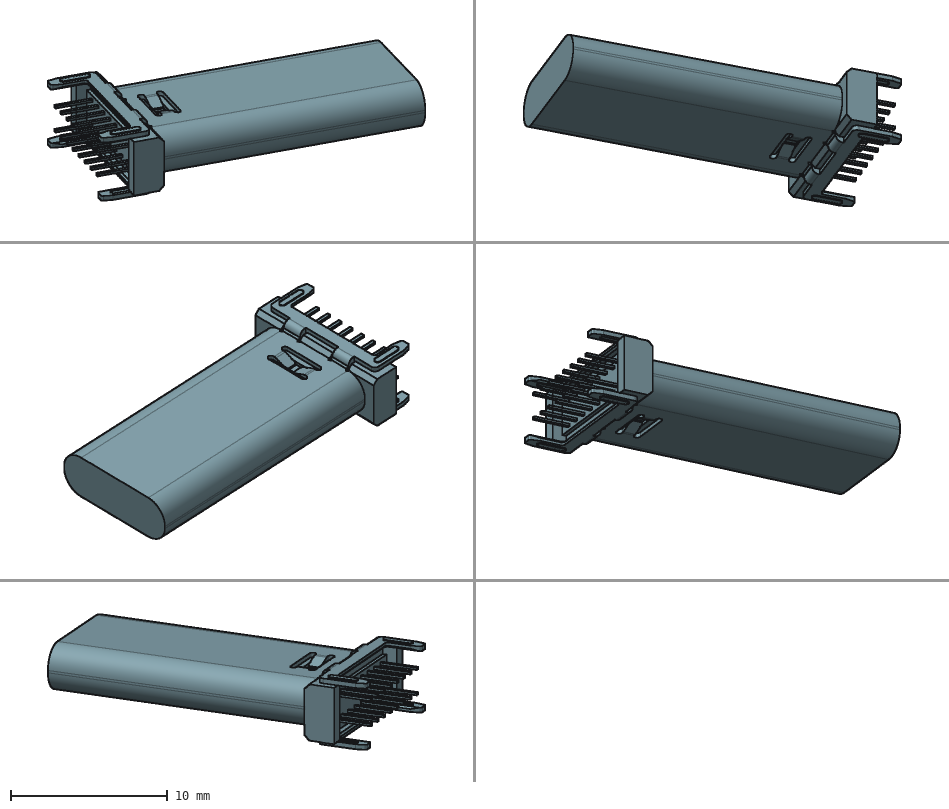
import cadquery as cq
import math


overall_length = 22.4
base_width = 10.5
overall_height = 4.6

leg_depth = 4.03
rib_height = 0.07
plate_top = overall_height / 2 - rib_height
plate_thickness = 0.34
plate_front = -0.7
plate_back = -1.64
plate_half_width = 4.7
plate_corner_radius = 0.34
plate_edge_chamfer = 0.13
leg_width = 0.96
leg_inner_radius = 0.18
leg_taper_start = -3.32
leg_tip_inset = 0.15
leg_tip_radius = 0.13
rib_width = 0.45
rib_length = 2.05
rib_centre_y = -2.25

strap_inner_x = 1.43
strap_outer_x = 2.87
strap_front = -0.15
strap_bend_radius = 0.47
relief_gap = 0.11
relief_radius = 0.11
relief_depth = 0.22

shell_length = overall_length - leg_depth
shell_width = 8.95
shell_height = 3.15
shell_corner_radius = 1.5

base_depth = 2.08
base_height = 2 * (plate_top - plate_thickness)
base_chamfer = 0.34
cheek_width = 0.9
recess_floor = -1.37
ledge_floor = -1.1
ledge_half_height = 1.19

pins_per_row = 8
pin_span = 7.0
pin_width = 0.25
pin_thickness = 0.15
pin_row_z = 0.85
pin_end = -3.92

slot_length = 3.34
slot_width = 0.43
slot_depth = 0.31
slot_spacing = 1.3
window_centre_y = 1.84
window_half_length = 1.4
window_depth = 0.54
tongue_bend_x = 1.25
tongue_bend_drop = 0.02
tongue_tip_x = 0.25
tongue_tip_drop = 0.43
tongue_corner_radius = 0.13


def box_between(x_range, y_range, z_range):
    """Box given by its low and high limits along each axis."""
    size = [high - low for low, high in (x_range, y_range, z_range)]
    corner = (x_range[0], y_range[0], z_range[0])
    return cq.Workplane("XY").box(*size, centered=False).translate(corner)


def both_sides(shape, plane):
    """Shape joined with its mirror image."""
    return shape.union(shape.mirror(plane))


def make_shell():
    """Rounded bar, started inside the base so the two fuse."""
    return (
        cq.Workplane("XZ", origin=(0, ledge_floor, 0))
        .rect(shell_width, shell_height)
        .extrude(-(shell_length - ledge_floor))
        .edges("|Y")
        .fillet(shell_corner_radius)
    )


def make_base():
    """Block with chamfered front edges and a stepped recess between two cheeks."""
    half_width = base_width / 2
    half_height = base_height / 2
    block = (
        box_between((-half_width, half_width), (-base_depth, 0), (-half_height, half_height))
        .faces(">Y")
        .edges("|X")
        .chamfer(base_chamfer)
    )
    recess_x = (cheek_width - half_width, half_width - cheek_width)
    recess = box_between(recess_x, (-base_depth, recess_floor), (-half_height, half_height))
    ledge = box_between(recess_x, (-base_depth, ledge_floor), (ledge_half_height, half_height))
    return block.cut(recess).cut(both_sides(ledge, "XY"))


def make_pins():
    """Two rows of straight pins."""
    pitch = pin_span / (pins_per_row - 1)
    return (
        cq.Workplane("XZ", origin=(0, ledge_floor, 0))
        .rarray(pitch, 2 * pin_row_z, pins_per_row, 2)
        .rect(pin_width, pin_thickness)
        .extrude(ledge_floor - pin_end)
    )


def make_plate():
    """Flat upper plate with two tapered legs, each with an embossed rib that is hollow behind."""
    leg_inner_x = plate_half_width - leg_width
    half_outline = [
        (0, plate_front),
        (plate_half_width, plate_front),
        (plate_half_width, leg_taper_start),
        (plate_half_width - leg_tip_inset, -leg_depth),
        (leg_inner_x + leg_tip_inset, -leg_depth),
        (leg_inner_x, leg_taper_start),
        (leg_inner_x, plate_back),
        (0, plate_back),
    ]
    plate = cq.Workplane("XY").polyline(half_outline).mirrorY().extrude(plate_thickness)
    plate = plate.edges("|Z and >Y").fillet(plate_corner_radius)
    plate = plate.edges("|Z and <Y").fillet(leg_tip_radius)
    margin = 0.02
    back_edges = cq.selectors.BoxSelector(
        (-leg_inner_x - margin, plate_back - margin, -margin),
        (leg_inner_x + margin, plate_back + margin, plate_thickness + margin),
    )
    plate = plate.edges("|Z").edges(back_edges).fillet(leg_inner_radius)
    plate = plate.faces("<Z").edges("|X").edges(back_edges).chamfer(plate_edge_chamfer)
    ribs = (
        cq.Workplane("XY", origin=(0, rib_centre_y, 0))
        .pushPoints([(side * (plate_half_width - leg_width / 2), 0) for side in (-1, 1)])
        .slot2D(rib_length, rib_width, 90)
        .extrude(plate_thickness)
    )
    plate = plate.cut(ribs).union(ribs.translate((0, 0, rib_height)))
    return plate.translate((0, 0, plate_top - plate_thickness))


def make_straps():
    """Straps that curve over the front edge of the base."""
    bend_y = strap_front - strap_bend_radius
    bend_z = plate_top - strap_bend_radius
    bend_middle = strap_bend_radius * math.cos(math.radians(45))
    root_z = shell_height / 2 - slot_depth
    strap = (
        cq.Workplane("YZ", origin=(strap_inner_x, 0, 0))
        .moveTo(plate_back / 2, plate_top)
        .lineTo(bend_y, plate_top)
        .threePointArc((bend_y + bend_middle, bend_z + bend_middle), (strap_front, bend_z))
        .lineTo(strap_front, root_z)
        .lineTo(plate_back / 2, root_z)
        .close()
        .extrude(strap_outer_x - strap_inner_x)
    )
    return both_sides(strap, "YZ")


def make_reliefs():
    """Cutter for the slits beside the straps, each ending in a round notch in the shell."""
    offsets = (strap_inner_x - relief_gap / 2, strap_outer_x + relief_gap / 2)
    centres = [side * x for side in (-1, 1) for x in offsets]
    base = cq.Workplane("XY", origin=(0, 0, shell_height / 2 - relief_depth))
    notches = base.pushPoints([(x, 0) for x in centres]).circle(relief_radius).extrude(2 * relief_depth)
    slits = (
        base.pushPoints([(x, plate_front / 2) for x in centres])
        .rect(relief_gap, -plate_front)
        .extrude(plate_top)
    )
    return notches.union(slits)


def make_window():
    """Cutter for the latch window in the upper shell face, leaving its tongues."""
    shell_top = shell_height / 2
    half_gap = (slot_spacing - slot_width) / 2
    y_range = (window_centre_y - half_gap, window_centre_y + half_gap)
    window_bottom = shell_top - window_depth
    slots = (
        cq.Workplane("XY", origin=(0, window_centre_y, shell_top))
        .rarray(0.22, slot_spacing, 1, 2)
        .slot2D(slot_length, slot_width)
        .extrude(-slot_depth)
    )
    opening = box_between(
        (-window_half_length, window_half_length), y_range, (window_bottom, shell_top)
    )
    tongue = (
        cq.Workplane("XZ", origin=(0, y_range[1], 0))
        .polyline([
            (window_half_length, shell_top),
            (tongue_bend_x, shell_top - tongue_bend_drop),
            (tongue_tip_x, shell_top - tongue_tip_drop),
            (tongue_tip_x, window_bottom),
            (window_half_length, window_bottom),
        ])
        .close()
        .extrude(2 * half_gap)
        .edges("|Z and <X")
        .fillet(tongue_corner_radius)
    )
    return slots.union(opening.cut(both_sides(tongue, "YZ")))


body = make_shell().union(make_base()).union(make_pins())
body = body.union(both_sides(make_plate().union(make_straps()), "XY"))
result = body.cut(both_sides(make_reliefs().union(make_window()), "XY"))